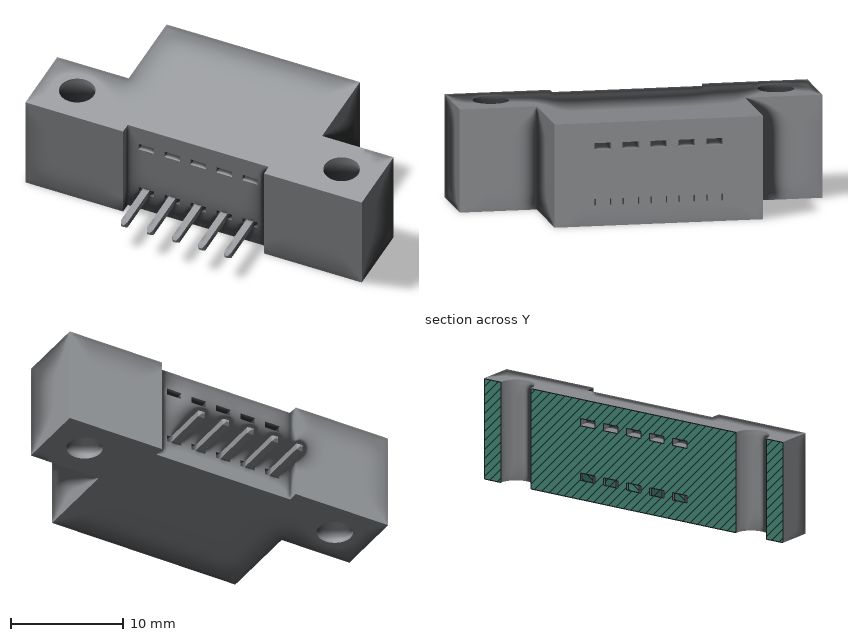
import cadquery as cq


LENGTH = 33.02
HEIGHT = 9.4
EAR_DEPTH = 6.85
BACK_WIDTH = 19.0
BACK_Y = 14.95
RECESS_WIDTH = 13.85
RECESS_DEPTH = 1.0

HOLE_DIAMETER = 3.27
HOLE_SPACING = 25.95
HOLE_Y = 3.4

CONTACT_COUNT = 5
CONTACT_PITCH = 2.55
ROW_SPACING = 5.1
SLOT_WIDTH = 1.52
SLOT_HEIGHT = 0.63
LOWER_ROW_Z = (HEIGHT - ROW_SPACING) / 2
UPPER_ROW_Z = LOWER_ROW_Z + ROW_SPACING
CONTACT_XS = [(i - (CONTACT_COUNT - 1) / 2) * CONTACT_PITCH for i in range(CONTACT_COUNT)]

PIN_TIP_Y = -4.1
PIN_WIDTH = 0.65
PIN_HEIGHT = SLOT_HEIGHT
PIN_BODY_WIDTH = 1.25
SHOULDER_Y = RECESS_DEPTH
SHOULDER_LENGTH = 0.73
TIP_LENGTH = 0.33
TIP_INSET = 0.2


def make_housing():
    """Block with two ears, a shallow front recess, mounting holes and contact slots."""
    ears = cq.Workplane("XY").box(LENGTH, EAR_DEPTH, HEIGHT, centered=(True, False, False))
    back = cq.Workplane("XY").box(BACK_WIDTH, BACK_Y, HEIGHT, centered=(True, False, False))
    recess = cq.Workplane("XY").box(RECESS_WIDTH, RECESS_DEPTH, HEIGHT, centered=(True, False, False))
    mounting_holes = (
        cq.Workplane("XY")
        .pushPoints([(-HOLE_SPACING / 2, HOLE_Y), (HOLE_SPACING / 2, HOLE_Y)])
        .circle(HOLE_DIAMETER / 2)
        .extrude(HEIGHT)
    )
    slots = (
        cq.Workplane("XZ")
        .pushPoints([(x, z) for x in CONTACT_XS for z in (LOWER_ROW_Z, UPPER_ROW_Z)])
        .rect(SLOT_WIDTH, SLOT_HEIGHT)
        .extrude(-BACK_Y)
    )
    return ears.union(back).cut(recess).cut(mounting_holes).cut(slots)


def make_pin(x):
    """Flat contact that narrows to a slim tail with a bevelled tip."""
    half_body = PIN_BODY_WIDTH / 2
    half_tail = PIN_WIDTH / 2
    tip_base_y = PIN_TIP_Y + TIP_LENGTH
    blade = (
        cq.Workplane("XY")
        .polyline(
            [
                (-half_body, BACK_Y),
                (-half_body, SHOULDER_Y + SHOULDER_LENGTH),
                (-half_tail, SHOULDER_Y),
                (-half_tail, tip_base_y),
                (half_tail, tip_base_y),
                (half_tail, SHOULDER_Y),
                (half_body, SHOULDER_Y + SHOULDER_LENGTH),
                (half_body, BACK_Y),
            ]
        )
        .close()
        .extrude(PIN_HEIGHT / 2, both=True)
    )
    tip = (
        cq.Workplane("XZ", origin=(0, tip_base_y, 0))
        .rect(PIN_WIDTH, PIN_HEIGHT)
        .workplane(offset=TIP_LENGTH)
        .rect(PIN_WIDTH - 2 * TIP_INSET, PIN_HEIGHT - 2 * TIP_INSET)
        .loft(ruled=True)
    )
    return blade.union(tip).translate((x, 0, LOWER_ROW_Z))


housing = make_housing()
pins = [make_pin(x) for x in CONTACT_XS]

result = cq.Compound.makeCompound([housing.val(), *[pin.val() for pin in pins]])